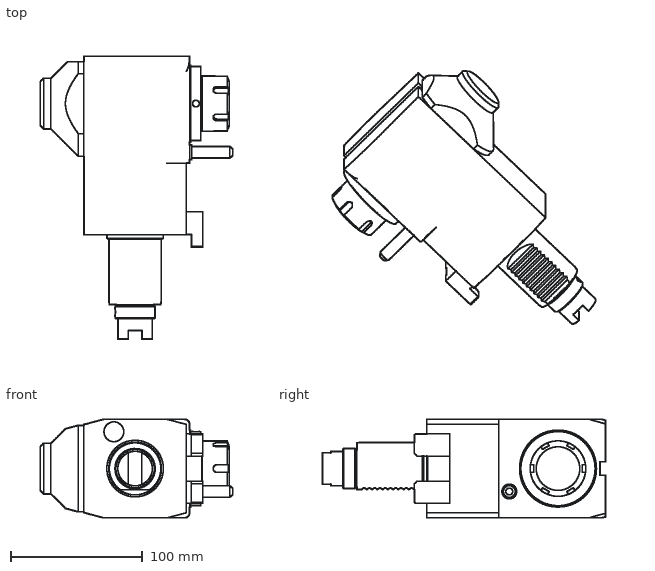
import cadquery as cq
import math


body_height = 75.0
half_height = body_height / 2
half_width = 39.0
edge_height = 33.5
bevel_start = 23.9
body_length = 135.9
shoulder_x = 41.5
shoulder_y = 54.6
shoulder_fillet = 4.0
rear_slope = 0.25
crown_points = [(-half_width, edge_height), (-bevel_start, 34.5), (-5.8, 36.0), (12.7, 36.8),
                (28.0, 36.0), (37.2, 34.6), (shoulder_x, 34.0)]
rear_slot_width = 10.0
rear_slot_depth = 4.0
plug_x = -16.1
plug_z = 28.0
plug_radius = 7.5
plug_recess = 0.5

spindle_y = 99.8
cover_radius = 40.0
cover_rim = 4.3
cover_cone_length = 20.6
cap_radius = 19.4
cap_length = 8.2
cap_chamfer = 2.5
cover_flat_half = 33.0
cover_rear_flat = 31.8
cover_flat_angle = 15

seal_radius = 29.2
seal_end = 42.4
disc_radius = 28.2
disc_end = 49.9
neck_radius = 16.5
nut_start = 51.0
nut_radius = 21.0
nut_chamfer_x = 69.9
nut_end = 71.5
nut_face_radius = 16.5
nut_slots = 6
nut_slot_width = 5.8
nut_slot_start = 59.3
nut_slot_depth = 2.5
screw_x = 46.2
screw_radius = 2.5

pin_y = 62.8
pin_z = -17.5
pin_radius = 4.5
pin_tip_radius = 2.5
pin_tip_x = 71.8
pin_end = 74.2
pin_collar_radius = 5.5
pin_collar_end = 43.2

bracket_half = 26.5
bracket_front = 0.2
bracket_rear = 17.6
bracket_end = 50.5
bracket_recess = 0.6
lug_inner = 9.5
lug_start = 42.8
lug_end = 51.4
lug_reach = 9.2
lug_chamfer = 0.9
lug_inner_chamfer = 2.2

collar_radius = 21.5
collar_length = 2.4
collar_cone_end = 3.5
shank_radius = 20.0
shank_end = 52.9
shank_chamfer_length = 2.5
shank_end_radius = 19.5
groove_radius = 14.0
step_start = 53.8
step_radius = 15.3
step_end = 63.6
step_chamfer = 0.6
tang_radius = 13.1
tang_end = 79.1
tang_slot_width = 10.3
tang_slot_depth = 6.5
rack_depth = 16.0
rack_start = 9.5
rack_length = 40.0
tooth_count = 10
tooth_pitch = rack_length / tooth_count
tooth_depth = 1.3
pin_hole_y = -58.5
pin_hole_radius = 2.5
pin_hole_depth = 1.7


def turned_x(points, y, z=0.0):
    """Solid of revolution about an X-parallel axis from (x, radius) points."""
    outline = [(points[0][0], 0)] + points + [(points[-1][0], 0)]
    solid = cq.Workplane("XY").polyline(outline).close().revolve(360, (0, 0), (1, 0))
    return solid.translate((0, y, z))


def box(x0, x1, y0, y1, z0, z1):
    """Box between two opposite corners."""
    return cq.Workplane("XY").box(x1 - x0, y1 - y0, z1 - z0, centered=False).translate((x0, y0, z0))


def make_body():
    wide = (
        cq.Workplane("XZ")
        .moveTo(-half_width, edge_height)
        .lineTo(-bevel_start, half_height)
        .lineTo(shoulder_x - shoulder_fillet, half_height)
        .radiusArc((shoulder_x, half_height - shoulder_fillet), shoulder_fillet)
        .lineTo(shoulder_x, shoulder_fillet - half_height)
        .radiusArc((shoulder_x - shoulder_fillet, -half_height), shoulder_fillet)
        .lineTo(-bevel_start, -half_height)
        .lineTo(-half_width, -edge_height)
        .close()
        .extrude(shoulder_y - body_length)
        .translate((0, shoulder_y, 0))
    )
    upper = [(-half_width, edge_height), (-bevel_start, half_height),
             (bevel_start, half_height), (half_width, edge_height)]
    lower = [(x, -z) for x, z in reversed(upper)]
    narrow = cq.Workplane("XZ").polyline(upper + lower).close().extrude(-shoulder_y)
    body = wide.union(narrow)

    crown = crown_cutter()
    body = body.cut(crown).cut(crown.mirror("XY"))

    slot_half = rear_slot_width / 2
    body = body.cut(box(-half_width, shoulder_x, body_length - rear_slot_depth, body_length,
                        -slot_half, slot_half))
    plug = cq.Workplane("XZ").center(plug_x, plug_z).circle(plug_radius).extrude(-plug_recess)
    return body.cut(plug)


def crown_cutter():
    """Material above the crowned rear edge; the crown rises in a straight slope towards the front."""
    margin = 4.3
    crown_run = 25.8
    top = half_height + margin
    profile = (
        cq.Workplane("XZ", origin=(0, body_length, 0))
        .moveTo(*crown_points[0])
        .spline(crown_points[1:], includeCurrent=True)
        .lineTo(shoulder_x + margin, crown_points[-1][1])
        .lineTo(shoulder_x + margin, top)
        .lineTo(-half_width - margin, top)
        .lineTo(-half_width - margin, edge_height)
        .close()
        .wire()
        .val()
    )
    slope = cq.Vector(0, -crown_run, crown_run * rear_slope)
    return cq.Workplane(cq.Solid.extrudeLinear(profile, [], slope))


def make_cover():
    rim_x = -half_width - cover_rim
    cap_x = rim_x - cover_cone_length
    end_x = cap_x - cap_length
    cover = turned_x(
        [(0, cover_radius), (rim_x, cover_radius), (cap_x, cap_radius),
         (end_x + cap_chamfer, cap_radius), (end_x, cap_radius - cap_chamfer)],
        spindle_y,
    )
    flat_drop = cover_cone_length * math.tan(math.radians(cover_flat_angle))
    low = cover_flat_half - flat_drop
    upper = [(end_x, low), (cap_x, low), (rim_x, cover_flat_half), (0, cover_flat_half)]
    lower = [(x, -z) for x, z in reversed(upper)]
    envelope = (
        cq.Workplane("XZ", origin=(0, spindle_y + cover_rear_flat, 0))
        .polyline(upper + lower)
        .close()
        .extrude(cover_rear_flat + cover_radius)
    )
    return cover.intersect(envelope)


def make_nose():
    nose = turned_x(
        [(0, seal_radius), (seal_end, seal_radius), (seal_end, disc_radius), (disc_end, disc_radius),
         (disc_end, neck_radius), (nut_start, neck_radius), (nut_start, nut_radius),
         (nut_chamfer_x, nut_radius), (nut_end, nut_face_radius)],
        spindle_y,
    )
    slot_floor = nut_radius - nut_slot_depth
    round_x = nut_slot_start + nut_slot_width / 2
    half = nut_slot_width / 2
    slot = (
        cq.Workplane("XZ", origin=(0, -slot_floor, 0))
        .moveTo(nut_end, half)
        .lineTo(round_x, half)
        .radiusArc((round_x, -half), -half)
        .lineTo(nut_end, -half)
        .close()
        .extrude(2 * nut_slot_depth)
    )
    for i in range(nut_slots):
        turned = slot.rotate((0, 0, 0), (1, 0, 0), i * 360 / nut_slots)
        nose = nose.cut(turned.translate((0, spindle_y, 0)))
    recess = cq.Solid.makeCone(0, screw_radius, screw_radius,
                               cq.Vector(screw_x, spindle_y, disc_radius - screw_radius))
    return nose.cut(cq.Workplane(recess))


def make_pin():
    return turned_x(
        [(0, pin_collar_radius), (pin_collar_end, pin_collar_radius), (pin_collar_end, pin_radius),
         (pin_tip_x, pin_radius), (pin_end, pin_tip_radius)],
        pin_y, pin_z,
    )


def make_bracket():
    bracket = box(0, bracket_end, bracket_front, bracket_rear, -bracket_half, bracket_half)
    bracket = bracket.cut(box(half_width, bracket_end, bracket_front, bracket_front + bracket_recess,
                              -lug_inner, lug_inner))
    lug = (
        cq.Workplane("YZ", origin=(lug_start, 0, 0))
        .polyline([
            (bracket_rear, lug_inner), (bracket_rear, bracket_half),
            (lug_chamfer - lug_reach, bracket_half), (-lug_reach, bracket_half - lug_chamfer),
            (-lug_reach, lug_inner + lug_inner_chamfer), (lug_inner_chamfer - lug_reach, lug_inner),
        ])
        .close()
        .extrude(lug_end - lug_start)
    )
    return bracket.union(lug).union(lug.mirror("XY"))


def make_shank():
    outline = [
        (0, 0), (collar_radius, 0), (collar_radius, -collar_length),
        (shank_radius, -collar_cone_end),
        (shank_radius, shank_chamfer_length - shank_end), (shank_end_radius, -shank_end),
        (groove_radius, -shank_end), (groove_radius, -step_start),
        (step_radius - step_chamfer, -step_start), (step_radius, -step_start - step_chamfer),
        (step_radius, step_chamfer - step_end), (step_radius - step_chamfer, -step_end),
        (tang_radius, -step_end), (tang_radius, -tang_end), (0, -tang_end),
    ]
    shank = cq.Workplane("XY").polyline(outline).close().revolve(360, (0, 0), (0, 1))

    depth = collar_radius - rack_depth
    rack = [(-rack_start + depth, -collar_radius), (-rack_start, -rack_depth)]
    tooth_y = -rack_start
    for _ in range(tooth_count):
        rack.append((tooth_y - tooth_pitch / 2, tooth_depth - rack_depth))
        rack.append((tooth_y - tooth_pitch, -rack_depth))
        tooth_y -= tooth_pitch
    rack += [(-shank_end, -rack_depth), (-shank_end, -collar_radius)]
    cutter = cq.Workplane("YZ").polyline(rack).close().extrude(collar_radius, both=True)
    shank = shank.cut(cutter)

    slot_half = tang_slot_width / 2
    shank = shank.cut(box(-slot_half, slot_half, -tang_end, tang_slot_depth - tang_end,
                          -tang_radius, tang_radius))
    pin_hole = (
        cq.Workplane("YZ", origin=(-step_radius, 0, 0))
        .center(pin_hole_y, 0)
        .circle(pin_hole_radius)
        .extrude(pin_hole_depth)
    )
    return shank.cut(pin_hole)


result = make_body()
for feature in (make_cover(), make_nose(), make_pin(), make_bracket(), make_shank()):
    result = result.union(feature)